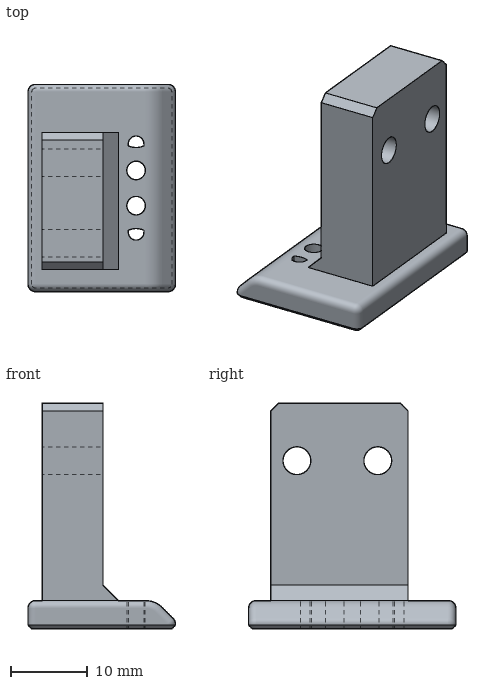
import cadquery as cq
import math

base_length = 19.23
base_width = 27.02
base_height = 3.7
edge_radius = 1.0
bottom_chamfer = 0.5
bend_start = 15.35
bend_radius = 3.0
slope_angle = math.radians(45)

total_height = 29.4
upright_start = 1.85
upright_thickness = 7.95
upright_width = 17.88
upright_center_y = -1.68
upright_chamfer = 1.0
gusset_size = 2.0

cross_hole_diameter = 3.6
cross_hole_height = 21.9
cross_hole_spacing = 10.53
cross_hole_center_y = -1.95

opening_row_x = 14.08
round_hole_diameter = 2.38
round_hole_offset = 2.3
d_opening_radius = 1.0
d_opening_outer_offset = 6.75
d_opening_inner_offset = 5.3
d_opening_corner_offset = 5.5


def make_base():
    """Plate with a bent, sloped end, rounded upper edges and a chamfered underside."""
    bend_mid_angle = slope_angle / 2
    bend_center_z = base_height - bend_radius
    bend_mid = (
        bend_start + bend_radius * math.sin(bend_mid_angle),
        bend_center_z + bend_radius * math.cos(bend_mid_angle),
    )
    bend_end = (
        bend_start + bend_radius * math.sin(slope_angle),
        bend_center_z + bend_radius * math.cos(slope_angle),
    )
    slope_end_z = bend_end[1] - (base_length - bend_end[0]) * math.tan(slope_angle)
    plate = (
        cq.Workplane("XZ")
        .lineTo(base_length, 0)
        .lineTo(base_length, slope_end_z)
        .lineTo(*bend_end)
        .threePointArc(bend_mid, (bend_start, base_height))
        .lineTo(0, base_height)
        .close()
        .extrude(base_width / 2, both=True)
    )
    plate = plate.edges("not <Z").edges("(not |Y) or <X or >X").fillet(edge_radius)
    return plate.faces("<Z").chamfer(bottom_chamfer)


def make_upright():
    """Block with chamfered top corners and a triangular gusset on its +X side."""
    upright_end = upright_start + upright_thickness
    block = (
        cq.Workplane("XY")
        .box(upright_thickness, upright_width, total_height - base_height, centered=(False, True, False))
        .translate((upright_start, upright_center_y, base_height))
        .faces(">Z")
        .edges("|X")
        .chamfer(upright_chamfer)
    )
    gusset = (
        cq.Workplane("XZ")
        .moveTo(upright_end, base_height)
        .lineTo(upright_end + gusset_size, base_height)
        .lineTo(upright_end, base_height + gusset_size)
        .close()
        .extrude(upright_width / 2, both=True)
        .translate((0, upright_center_y, 0))
    )
    return block.union(gusset)


def make_cross_holes():
    """Pair of cylinders along X through the upright."""
    return (
        cq.Workplane("YZ")
        .center(cross_hole_center_y, cross_hole_height)
        .pushPoints([(-cross_hole_spacing / 2, 0), (cross_hole_spacing / 2, 0)])
        .circle(cross_hole_diameter / 2)
        .extrude(base_length)
    )


def make_d_opening(side):
    """Opening with a semicircular outer end and a shallow curved inner end."""
    arc_center = d_opening_outer_offset - d_opening_radius
    left = opening_row_x - d_opening_radius
    right = opening_row_x + d_opening_radius
    return (
        cq.Workplane("XY")
        .moveTo(left, side * d_opening_corner_offset)
        .lineTo(left, side * arc_center)
        .threePointArc((opening_row_x, side * d_opening_outer_offset), (right, side * arc_center))
        .lineTo(right, side * d_opening_corner_offset)
        .threePointArc(
            (opening_row_x, side * d_opening_inner_offset),
            (left, side * d_opening_corner_offset),
        )
        .close()
        .extrude(base_height)
    )


def make_base_openings():
    """Two round holes flanked by two D-shaped openings, mirrored about Y = 0."""
    openings = (
        cq.Workplane("XY")
        .pushPoints([(opening_row_x, -round_hole_offset), (opening_row_x, round_hole_offset)])
        .circle(round_hole_diameter / 2)
        .extrude(base_height)
    )
    for side in (-1, 1):
        openings = openings.union(make_d_opening(side))
    return openings


result = make_base().union(make_upright()).cut(make_cross_holes()).cut(make_base_openings())